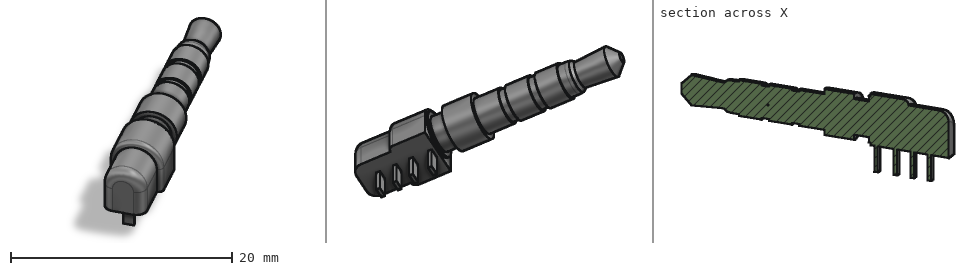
import cadquery as cq

total_length = 26.6

body_radius = 2.5
body_front = 7.8
body_rear = 4.0
rear_radius = 2.0
body_fillet = body_radius - rear_radius
rear_fillet = rear_radius / 2
base_z = -body_radius

sleeve_radius = 1.75
groove_radius = 1.6
collar_radius = 2.248
flange_front = 7.98
collar_rear = 9.4
collar_front = 12.37
groove_spans = [(14.9, 15.6), (17.9, 18.62)]
sleeve_front = 20.88

shoulder_rear = 21.63
shoulder_front = 22.02
shoulder_radius = 1.55
neck_y = 22.4
neck_radius = 1.28
tip_radius = 3.0 / 2
tip_cone_length = 1.0
tip_end_radius = 0.5

pin_width = 1.0
pin_thickness = 0.37
pin_length = 2.5
pin_positions = [1.95, 3.65, 5.32, 7.24]


def arched_block(radius, y_rear, y_front, fillet):
    """Block with a semicircular top, rounded around its rear face except at the base."""
    block = (
        cq.Workplane("XZ", origin=(0, y_front, 0))
        .moveTo(-radius, base_z)
        .lineTo(-radius, 0)
        .threePointArc((0, radius), (radius, 0))
        .lineTo(radius, base_z)
        .close()
        .extrude(y_front - y_rear)
    )
    rounded_edges = block.faces("<Y").edges(cq.selectors.BoxSelector(
        (-2 * radius, y_rear - 0.27, base_z / 2 - 0.27),
        (2 * radius, y_rear + 0.27, 2 * radius),
    ))
    return rounded_edges.fillet(fillet)


def cylinder(radius, y_rear, y_front):
    return cq.Workplane("XZ", origin=(0, y_front, 0)).circle(radius).extrude(y_front - y_rear)


def contact_tip():
    """Turned shoulder, neck and flared tip ending in a blunt cone."""
    profile = [
        (0, sleeve_front),
        (groove_radius, sleeve_front),
        (groove_radius, shoulder_rear),
        (shoulder_radius, shoulder_front),
        (neck_radius, neck_y),
        (tip_radius, total_length - tip_cone_length),
        (tip_end_radius, total_length),
        (0, total_length),
    ]
    return cq.Workplane("XY").polyline(profile).close().revolve(360, (0, 0, 0), (0, 1, 0))


def plug():
    shaft = cylinder(sleeve_radius, body_front, sleeve_front)
    for groove_rear, groove_front in groove_spans:
        ring = cylinder(collar_radius, groove_rear, groove_front)
        core = cylinder(groove_radius, groove_rear, groove_front)
        shaft = shaft.cut(ring.cut(core))
    flange = cylinder(collar_radius, body_front, flange_front)
    collar = cylinder(collar_radius, collar_rear, collar_front)
    return shaft.union(flange).union(collar).union(contact_tip())


def pin(y_center):
    return cq.Workplane("XY", origin=(0, y_center, base_z)).rect(pin_width, pin_thickness).extrude(-pin_length)


result = arched_block(body_radius, body_rear, body_front, body_fillet)
result = result.union(arched_block(rear_radius, 0, body_rear, rear_fillet))
result = result.union(plug())
for y_center in pin_positions:
    result = result.union(pin(y_center))